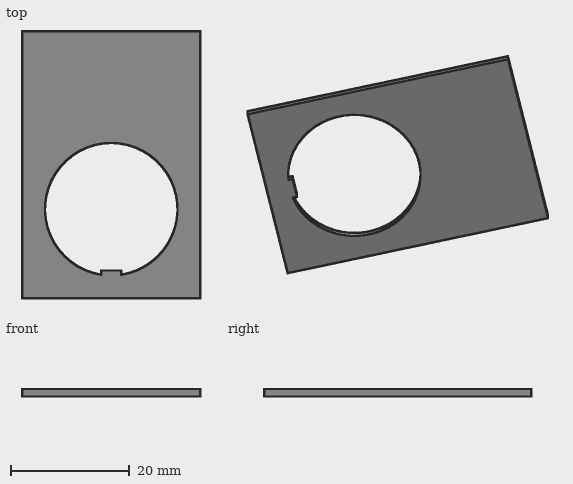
import cadquery as cq

length = 45.0
width = 30.0
thickness = 1.3

hole_diameter = 22.28
hole_y = -length / 2 + width / 2

key_width = 3.38
key_face_distance = 10.3


def make_plate():
    """Rectangular plate resting on the XY plane, centred on the origin."""
    return cq.Workplane("XY").box(width, length, thickness, centered=(True, True, False))


def make_opening():
    """Through-hole cutter with the key left out of it."""
    hole_radius = hole_diameter / 2
    disc = cq.Workplane("XY").center(0, hole_y).circle(hole_radius).extrude(thickness)
    key = (
        cq.Workplane("XY")
        .center(0, hole_y - (key_face_distance + hole_radius) / 2)
        .rect(key_width, hole_radius - key_face_distance)
        .extrude(thickness)
    )
    return disc.cut(key)


result = make_plate().cut(make_opening())